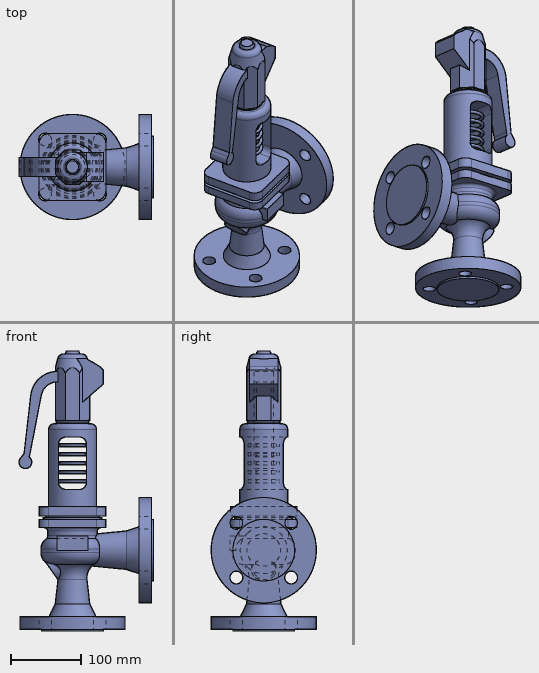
import cadquery as cq
import math


flange_radius = 75.0
flange_thickness = 18.0
raised_face_radius = 44.0
raised_face_height = 2.8
bolt_circle_radius = 55.0
bolt_hole_diameter = 18.0
bolt_count = 4
hub_radius = 33.5
hub_length = 18.0
flange_back = raised_face_height + flange_thickness

hub_top = flange_back + hub_length
inlet_hub_radius = 24.7
neck_radius = 20.7
neck_height = 73.7
bowl_radius = 45.0
bowl_arc_radius = 16.7
bowl_lower_center = 111.5
bowl_upper_center = 117.0
bowl_bottom_radius = 31.5
bowl_top_radius = 36.5
collar_radius = 35.5
collar_bottom = 136.3

outlet_face = 115.0
outlet_height = 115.0
outlet_hub_radius = 27.5
outlet_inner_radius = 20.0

boss_radius = 17.5
boss_x = -30.3
boss_height = 87.0
boss_tilt = 35.0
boss_length = 28.0

pad_width = 43.5
pad_bottom = 114.8
pad_top = 135.5
pad_front = 48.0
pad_back = 24.0

square_width = 95.0
square_corner = 13.0
lower_square_bottom = 147.0
lower_square_top = 159.0
upper_square_bottom = 163.5
upper_square_top = 177.0
collar_flare = 4.8
gasket_radius = 42.0
gasket_top = 161.5
spigot_radius = 38.3

bonnet_radius = 34.3
bonnet_top = 295.0
bonnet_fillet = 8.5
window_width = 39.5
window_bottom = 201.5
window_top = 275.8
window_corner = 10.0

coil_radius = 20.5
wire_radius = 2.5
coil_pitch = 12.8
coil_count = 5
lowest_coil = 213.0

cap_bottom = 299.5
cap_flats = 49.0
cap_sides = 8
cap_neck_radius = 22.5
cap_neck_ridge = 23.5
cone_bottom = 368.0
cone_bottom_radius = 26.5
cone_top = 387.5
cone_top_radius = 21.0
dome_top = 394.0
dome_flat_radius = 12.8
button_radius = 10.8
button_top_radius = 8.8
button_top = 398.5

hood_width = 40.5
hood_start = 4.0
hood_shoulder = 20.0
hood_knee = 39.0
hood_knee_height = 376.0
hood_end = 44.0
hood_end_top = 371.5
hood_end_bottom = 351.0
hood_toe = 13.5
hood_toe_height = 324.8

lever_width = 27.5
lever_root = -21.0
lever_top = 369.5
lever_outer_radius = 38.5
lever_inner_radius = 23.5
lever_outer_lean = 6.7
lever_inner_lean = 10.8
lever_foot_outer = -69.0
lever_foot_inner = -60.0
lever_foot = 252.5
ball_radius = 9.0
ball_x = -67.0
ball_height = 240.3
ball_joint_angle = 52.0


def cylinder(radius, bottom, top):
    return cq.Workplane("XY").workplane(offset=bottom).circle(radius).extrude(top - bottom)


def cone(bottom_radius, bottom, top_radius, top):
    return cq.Workplane(
        cq.Solid.makeCone(bottom_radius, top_radius, top - bottom, cq.Vector(0, 0, bottom))
    )


def pipe_flange(neck_hub_radius):
    """Bolted flange with raised face at Z = 0 and a tapered hub above it."""
    disc = cylinder(flange_radius, raised_face_height, flange_back)
    holes = (
        cq.Workplane("XY")
        .polarArray(bolt_circle_radius, 180 / bolt_count, 360, bolt_count)
        .circle(bolt_hole_diameter / 2)
        .extrude(flange_back)
    )
    hub = cone(hub_radius, flange_back, neck_hub_radius, hub_top)
    return disc.cut(holes).union(cylinder(raised_face_radius, 0, raised_face_height)).union(hub)


def bowl_arc_rise(radius):
    """Height of the bowl's rounded edge, above or below its arc centre, at the given radius."""
    offset = radius - (bowl_radius - bowl_arc_radius)
    return math.sqrt(bowl_arc_radius**2 - offset**2)


bowl_top = bowl_upper_center + bowl_arc_rise(bowl_top_radius)


def bowl():
    """Inlet neck flowing into the round bowl."""
    arc_center = bowl_radius - bowl_arc_radius
    diagonal = bowl_arc_radius * math.sqrt(0.5)
    return (
        cq.Workplane("XZ")
        .moveTo(0, hub_top)
        .lineTo(inlet_hub_radius, hub_top)
        .lineTo(neck_radius, neck_height)
        .tangentArcPoint(
            (bowl_bottom_radius, bowl_lower_center - bowl_arc_rise(bowl_bottom_radius)),
            relative=False,
        )
        .threePointArc(
            (arc_center + diagonal, bowl_lower_center - diagonal),
            (bowl_radius, bowl_lower_center),
        )
        .lineTo(bowl_radius, bowl_upper_center)
        .threePointArc(
            (arc_center + diagonal, bowl_upper_center + diagonal),
            (bowl_top_radius, bowl_top),
        )
        .lineTo(0, bowl_top)
        .close()
        .revolve(360, (0, 0), (0, 1))
    )


def collar():
    """Ring on the bowl, blended into it below and flaring out under the square flange."""
    flare_outer = collar_radius + collar_flare
    flare_bottom = lower_square_bottom - collar_flare
    diagonal = collar_flare * math.sqrt(0.5)
    return (
        cq.Workplane("XZ")
        .moveTo(0, lower_square_bottom)
        .lineTo(flare_outer, lower_square_bottom)
        .threePointArc(
            (flare_outer - diagonal, flare_bottom + diagonal),
            (collar_radius, flare_bottom),
        )
        .lineTo(collar_radius, collar_bottom)
        .tangentArcPoint((bowl_top_radius, bowl_top), relative=False)
        .lineTo(0, bowl_top)
        .close()
        .revolve(360, (0, 0), (0, 1))
    )


def outlet():
    """Flange facing +X and the cone leading back into the bowl."""
    branch = cone(outlet_hub_radius, hub_top, outlet_inner_radius, outlet_face)
    return (
        pipe_flange(outlet_hub_radius)
        .union(branch)
        .rotate((0, 0, 0), (0, 1, 0), -90)
        .translate((outlet_face, 0, outlet_height))
    )


def drain_boss():
    tilt = math.radians(boss_tilt)
    face = cq.Plane(
        origin=(boss_x, 0, boss_height),
        xDir=(0, 1, 0),
        normal=(math.cos(tilt), 0, math.sin(tilt)),
    )
    return cq.Workplane(face).circle(boss_radius).extrude(boss_length)


def name_pad():
    depth = pad_front - pad_back
    height = pad_top - pad_bottom
    return (
        cq.Workplane("XY")
        .box(pad_width, depth, height, centered=(True, False, False))
        .translate((0, -pad_front, pad_bottom))
    )


def square_flange(bottom, top):
    return (
        cq.Workplane("XY")
        .workplane(offset=bottom)
        .rect(square_width, square_width)
        .extrude(top - bottom)
        .edges("|Z")
        .fillet(square_corner)
    )


def bonnet():
    tube = cylinder(bonnet_radius, upper_square_top, bonnet_top).faces(">Z").edges().fillet(bonnet_fillet)
    window = (
        cq.Workplane("XY")
        .box(window_width, 2 * bonnet_radius, window_top - window_bottom)
        .edges("|Y")
        .fillet(window_corner)
        .translate((0, 0, (window_top + window_bottom) / 2))
    )
    return tube.cut(window)


def coil(height):
    return (
        cq.Workplane("XZ")
        .center(0, height)
        .moveTo(coil_radius, 0)
        .circle(wire_radius)
        .revolve(360, (0, 0), (0, 1))
    )


def cap():
    """Octagonal cap with a conical top, dome and button."""
    corner_diameter = cap_flats / math.cos(math.pi / cap_sides)
    cone_slope = (cone_bottom_radius - cone_top_radius) / (cone_top - cone_bottom)
    skirt_radius = cone_bottom_radius + cone_slope * (cone_bottom - cap_bottom)
    prism = (
        cq.Workplane("XY")
        .workplane(offset=cap_bottom)
        .polygon(cap_sides, corner_diameter)
        .extrude(dome_top - cap_bottom)
        .rotate((0, 0, 0), (0, 0, 1), 180 / cap_sides)
    )
    turned = (
        cq.Workplane("XZ")
        .moveTo(0, dome_top)
        .lineTo(dome_flat_radius, dome_top)
        .tangentArcPoint((cone_top_radius, cone_top), relative=False)
        .lineTo(skirt_radius, cap_bottom)
        .lineTo(0, cap_bottom)
        .close()
        .revolve(360, (0, 0), (0, 1))
    )
    button = cone(button_radius, dome_top, button_top_radius, button_top)
    return prism.intersect(turned).union(button)


def cap_neck():
    """Short neck between bonnet and cap with a ridge around its middle."""
    middle = (bonnet_top + cap_bottom) / 2
    lower_half = cone(cap_neck_radius, bonnet_top, cap_neck_ridge, middle)
    upper_half = cone(cap_neck_ridge, middle, cap_neck_radius, cap_bottom)
    return lower_half.union(upper_half)


def hood():
    return (
        cq.Workplane("XZ")
        .moveTo(hood_start, cone_top)
        .lineTo(hood_shoulder, cone_top)
        .lineTo(hood_knee, hood_knee_height)
        .lineTo(hood_end, hood_end_top)
        .lineTo(hood_end, hood_end_bottom)
        .lineTo(hood_toe, hood_toe_height)
        .lineTo(hood_start, hood_toe_height)
        .close()
        .extrude(hood_width / 2, both=True)
    )


def lever():
    """Curved handle hanging from the cap, ending in a round grip."""
    center_height = lever_top - lever_outer_radius

    def on_arc(radius, degrees):
        angle = math.radians(degrees)
        return (lever_root - radius * math.cos(angle), center_height + radius * math.sin(angle))

    joint_x = ball_radius * math.cos(math.radians(ball_joint_angle))
    joint_z = ball_radius * math.sin(math.radians(ball_joint_angle))
    inner_top = center_height + lever_inner_radius
    arm = (
        cq.Workplane("XZ")
        .moveTo(0, lever_top)
        .lineTo(lever_root, lever_top)
        .threePointArc(on_arc(lever_outer_radius, 45), on_arc(lever_outer_radius, lever_outer_lean))
        .lineTo(lever_foot_outer, lever_foot)
        .lineTo(ball_x - joint_x, ball_height + joint_z)
        .lineTo(ball_x, ball_height)
        .lineTo(ball_x + joint_x, ball_height + joint_z)
        .lineTo(lever_foot_inner, lever_foot)
        .lineTo(*on_arc(lever_inner_radius, lever_inner_lean))
        .threePointArc(on_arc(lever_inner_radius, 45), (lever_root, inner_top))
        .lineTo(0, inner_top)
        .close()
        .extrude(lever_width / 2, both=True)
    )
    ball = (
        cq.Workplane("XZ")
        .center(ball_x, ball_height)
        .circle(ball_radius)
        .extrude(lever_width / 2, both=True)
    )
    return arm.union(ball)


result = (
    pipe_flange(inlet_hub_radius)
    .union(bowl())
    .union(collar())
    .union(outlet())
    .union(drain_boss())
    .union(name_pad())
    .union(square_flange(lower_square_bottom, lower_square_top))
    .union(cylinder(gasket_radius, lower_square_top, gasket_top))
    .union(cylinder(spigot_radius, gasket_top, upper_square_bottom))
    .union(square_flange(upper_square_bottom, upper_square_top))
    .union(bonnet())
    .union(cap_neck())
    .union(cap())
    .union(hood())
    .union(lever())
)
for index in range(coil_count):
    result = result.union(coil(lowest_coil + index * coil_pitch))